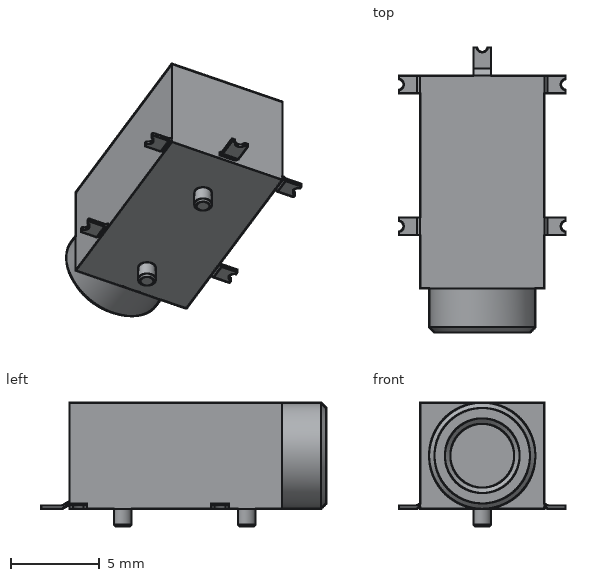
import cadquery as cq
import math


overall_width = 9.4
overall_length = 16.1

body_width = 7.0
body_height = 6.0
body_length = 12.01
sleeve_diameter = body_height
sleeve_length = 2.5
bore_diameter = 3.6
rear_wall = 1.0
bore_depth = body_length + sleeve_length - rear_wall
mouth_chamfer = 0.3
axis_height = body_height / 2
mouth_y = -body_length - sleeve_length

pin_diameter = 1.0
pin_length = 1.0
pin_chamfer = 0.13
pin_positions = (-3.01, -10.01)

lead_width = 1.0
lead_thickness = 0.2
ramp_angle = 30
lead_overlap = 0.1
notch_radius = 0.3
notch_depth = 0.25
side_reach = (overall_width - body_width) / 2
side_ramp = 0.2
rear_reach = overall_length - body_length - sleeve_length
rear_ramp = 0.4
side_lead_positions = (-lead_width / 2, -8.5)


def make_housing():
    """Box with a chamfered sleeve at the front and a blind bore."""
    box = cq.Workplane("XY").box(
        body_width, body_length, body_height, centered=(True, False, False)
    ).translate((0, -body_length, 0))
    mouth = cq.Workplane("XZ", origin=(0, mouth_y, axis_height))
    sleeve = mouth.circle(sleeve_diameter / 2).extrude(-sleeve_length)
    sleeve = sleeve.faces("<Y").chamfer(mouth_chamfer)
    bore = mouth.circle(bore_diameter / 2).extrude(-bore_depth)
    housing = box.union(sleeve).cut(bore)
    bore_rim = housing.faces("<Y").edges(cq.selectors.RadiusNthSelector(0))
    return bore_rim.chamfer(mouth_chamfer)


def make_pin(y):
    """Round pin below the housing with a chamfered tip."""
    pin = cq.Workplane("XY", origin=(0, y, 0)).circle(pin_diameter / 2).extrude(-pin_length)
    return pin.faces("<Z").chamfer(pin_chamfer)


def make_lead(reach, ramp):
    """Lead pointing along +X from X = 0, with a round solder notch in its tip."""
    slope = math.tan(math.radians(ramp_angle))
    inner_rise = (ramp + lead_overlap) * slope
    profile = [
        (reach, 0),
        (ramp, 0),
        (-lead_overlap, inner_rise),
        (-lead_overlap, inner_rise + lead_thickness),
        (ramp, lead_thickness),
        (reach, lead_thickness),
    ]
    strip = cq.Workplane("XZ").polyline(profile).close().extrude(lead_width / 2, both=True)
    notch_centre = reach - notch_depth + notch_radius
    notch = cq.Workplane("XY").center(notch_centre, 0).circle(notch_radius).extrude(lead_thickness)
    return strip.cut(notch)


def make_all_leads():
    """Two leads on each side and one at the rear."""
    leads = []
    for y in side_lead_positions:
        right = make_lead(side_reach, side_ramp).translate((body_width / 2, y, 0))
        leads += [right, right.mirror("YZ")]
    rear = make_lead(rear_reach, rear_ramp).rotate((0, 0, 0), (0, 0, 1), 90)
    leads.append(rear)
    return leads


result = make_housing()
for pin_y in pin_positions:
    result = result.union(make_pin(pin_y))
for lead in make_all_leads():
    result = result.union(lead)